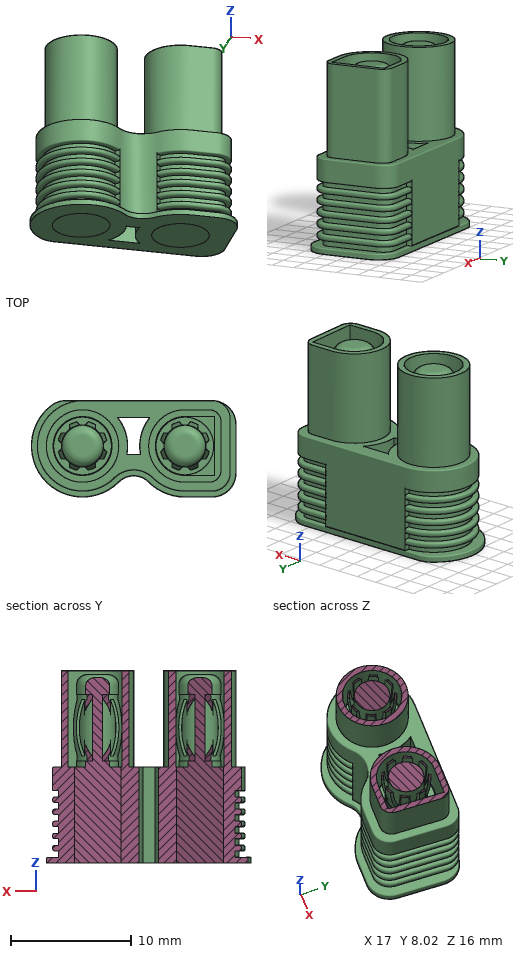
import cadquery as cq
import math

PIN_SPACING = 8.5
HALF_SPACING = PIN_SPACING / 2
BODY_RADIUS = 3.75
BODY_CORNER = 1.5
WAIST_CENTRE_Y = -4.25
WAIST_RADIUS = math.hypot(HALF_SPACING, WAIST_CENTRE_Y) - BODY_RADIUS
STEP = 0.5

FLANGE_TOP = 0.5
FLANGE_BACK_Y = 3.77
RIB_COUNT = 5
RIB_PITCH = 1.0
RIB_HEIGHT = 0.5
RIB_ROUND = 0.2
BAND_BOTTOM = 6.0
TUBE_TOP = 16.0
DECK_Z = TUBE_TOP / 2
EDGE_ROUND = 0.1

TUBE_RADIUS = 3.01
TUBE_CORNER = 1.0
BORE_RADIUS = 2.45
WINDOW_FRONT_Y = -0.7
WINDOW_BACK_Y = 2.36

SHANK_RADIUS = 2.4
TIP_RADIUS = 1.75
TIP_ROUND = 0.87
NECK_RADIUS = 1.5
NECK_BOTTOM = 8.5
NECK_TOP = 14.0
PIN_TOP = 15.65

LEAF_THICKNESS = 0.2
LEAF_BULGE_RADIUS = 2.07
SPRING_BAND = 0.4
SLOT_COUNT = 8
SLOT_APEX_RADIUS = 1.53


def extrude_between(outline, bottom, top):
    """Extrude a closed outline, drawn at Z = 0, between two heights."""
    return outline.extrude(top - bottom).translate((0, 0, bottom))


def body_outline(growth=0.0, back_y=None):
    """Rounded left end, square right end and concave front waist, offset outward by growth.

    The straight back is tangent to the rounded end unless back_y moves it inward.
    """
    end_radius = BODY_RADIUS + growth
    corner = BODY_CORNER + growth
    waist_radius = WAIST_RADIUS - growth
    right_x = HALF_SPACING + end_radius
    back_y = back_y or end_radius
    back_left_x = -HALF_SPACING - math.sqrt(end_radius**2 - back_y**2)
    corner_x = right_x - corner
    front_corner_y = corner - end_radius
    back_corner_y = back_y - corner
    diagonal = corner * math.sqrt(0.5)
    waist_angle = math.atan2(WAIST_CENTRE_Y, HALF_SPACING)
    tangent_x = HALF_SPACING - end_radius * math.cos(waist_angle)
    tangent_y = end_radius * math.sin(waist_angle)
    shoulder_angle = (math.pi - waist_angle + 1.5 * math.pi) / 2
    shoulder = (
        HALF_SPACING + end_radius * math.cos(shoulder_angle),
        end_radius * math.sin(shoulder_angle),
    )
    return (
        cq.Workplane("XY")
        .moveTo(back_left_x, back_y)
        .lineTo(corner_x, back_y)
        .threePointArc((corner_x + diagonal, back_corner_y + diagonal), (right_x, back_corner_y))
        .lineTo(right_x, front_corner_y)
        .threePointArc((corner_x + diagonal, front_corner_y - diagonal), (corner_x, -end_radius))
        .lineTo(HALF_SPACING, -end_radius)
        .threePointArc(shoulder, (tangent_x, tangent_y))
        .threePointArc((0, WAIST_CENTRE_Y + waist_radius), (-tangent_x, tangent_y))
        .threePointArc((-HALF_SPACING - end_radius, 0), (back_left_x, back_y))
        .close()
    )


def d_outline(radius):
    """D shape: half circle to the left of the right pin axis, square to its right."""
    return (
        cq.Workplane("XY")
        .moveTo(HALF_SPACING, radius)
        .threePointArc((HALF_SPACING - radius, 0), (HALF_SPACING, -radius))
        .lineTo(HALF_SPACING + radius, -radius)
        .lineTo(HALF_SPACING + radius, radius)
        .close()
    )


def round_outline(radius):
    """Circle on the left pin axis."""
    return cq.Workplane("XY").center(-HALF_SPACING, 0).circle(radius)


def make_flange():
    """Base plate with a rounded rear left corner and a rounded upper edge."""
    plate = body_outline(STEP, FLANGE_BACK_Y).extrude(FLANGE_TOP)
    rear_left = cq.selectors.NearestToPointSelector((-PIN_SPACING, PIN_SPACING, 0))
    plate = plate.edges("|Z").edges(rear_left).fillet(BODY_CORNER + STEP)
    return plate.faces(">Z").edges().fillet(EDGE_ROUND)


def make_web():
    """Ungrooved middle of the body: ends at the pin axes behind and at radial walls in front."""
    blank = extrude_between(body_outline(), FLANGE_TOP, DECK_Z - EDGE_ROUND)
    middle = (
        cq.Workplane("XY")
        .moveTo(-HALF_SPACING, BODY_RADIUS)
        .lineTo(-HALF_SPACING, 0)
        .lineTo(0, WAIST_CENTRE_Y)
        .lineTo(HALF_SPACING, 0)
        .lineTo(HALF_SPACING, BODY_RADIUS)
        .close()
        .extrude(DECK_Z)
    )
    return blank.intersect(middle)


def make_ribbed_body():
    """Grooved grip between the flange and the plain upper band."""
    body = extrude_between(body_outline(-STEP), FLANGE_TOP, BAND_BOTTOM)
    for index in range(RIB_COUNT):
        rib_bottom = RIB_PITCH * (index + 1)
        rib = extrude_between(body_outline(), rib_bottom, rib_bottom + RIB_HEIGHT)
        body = body.union(rib.faces("<Z or >Z").edges().fillet(RIB_ROUND))
    band = extrude_between(body_outline(), BAND_BOTTOM, DECK_Z)
    body = body.union(band.faces("<Z or >Z").edges().fillet(EDGE_ROUND))
    return body.union(make_web())


def make_tubes():
    """Round shroud on the left pin axis, D-shaped shroud on the right one."""
    round_tube = extrude_between(round_outline(TUBE_RADIUS), DECK_Z, TUBE_TOP)
    d_tube = extrude_between(d_outline(TUBE_RADIUS), DECK_Z, TUBE_TOP)
    d_tube = d_tube.edges("|Z and >X").fillet(TUBE_CORNER)
    round_bore = extrude_between(round_outline(BORE_RADIUS), DECK_Z, TUBE_TOP)
    d_bore = extrude_between(d_outline(BORE_RADIUS), DECK_Z, TUBE_TOP)
    return round_tube.cut(round_bore), d_tube.cut(d_bore)


def make_window():
    """Through opening between the pins, bounded by arcs concentric with them."""
    window = (
        cq.Workplane("XY")
        .moveTo(-HALF_SPACING, WINDOW_FRONT_Y)
        .lineTo(HALF_SPACING, WINDOW_FRONT_Y)
        .lineTo(HALF_SPACING, WINDOW_BACK_Y)
        .lineTo(-HALF_SPACING, WINDOW_BACK_Y)
        .close()
        .extrude(DECK_Z)
    )
    pin_walls = (
        cq.Workplane("XY")
        .pushPoints([(-HALF_SPACING, 0), (HALF_SPACING, 0)])
        .circle(BODY_RADIUS)
        .extrude(DECK_Z)
    )
    return window.cut(pin_walls)


def make_housing():
    """Flange, ribbed body and both tubes, with the pin holes and the window cut through."""
    housing = make_flange().union(make_ribbed_body())
    for tube in make_tubes():
        housing = housing.union(tube)
    pin_holes = (
        cq.Workplane("XY")
        .pushPoints([(-HALF_SPACING, 0), (HALF_SPACING, 0)])
        .circle(SHANK_RADIUS)
        .extrude(DECK_Z)
    )
    return housing.cut(pin_holes).cut(make_window())


def make_pin(x):
    """Turned pin: shank flush with the deck, spring neck and domed tip."""
    profile = (
        cq.Workplane("XZ")
        .lineTo(SHANK_RADIUS, 0)
        .lineTo(SHANK_RADIUS, DECK_Z)
        .lineTo(TIP_RADIUS, DECK_Z)
        .lineTo(TIP_RADIUS, NECK_BOTTOM)
        .lineTo(NECK_RADIUS, NECK_BOTTOM)
        .lineTo(NECK_RADIUS, NECK_TOP)
        .lineTo(TIP_RADIUS, NECK_TOP)
        .lineTo(TIP_RADIUS, PIN_TOP)
        .lineTo(0, PIN_TOP)
        .close()
    )
    pin = profile.revolve(360, (0, 0, 0), (0, 1, 0))
    return pin.faces(">Z").edges().fillet(TIP_ROUND).translate((x, 0, 0))


def make_spring(x):
    """Lantern spring around the neck: two end rings joined by outward-bowed leaves."""
    outer_end = NECK_RADIUS + LEAF_THICKNESS
    leaf_bottom = NECK_BOTTOM + SPRING_BAND
    leaf_top = NECK_TOP - SPRING_BAND
    middle_z = (leaf_bottom + leaf_top) / 2
    profile = (
        cq.Workplane("XZ")
        .moveTo(NECK_RADIUS, NECK_BOTTOM)
        .lineTo(outer_end, NECK_BOTTOM)
        .lineTo(outer_end, leaf_bottom)
        .threePointArc((LEAF_BULGE_RADIUS, middle_z), (outer_end, leaf_top))
        .lineTo(outer_end, NECK_TOP)
        .lineTo(NECK_RADIUS, NECK_TOP)
        .lineTo(NECK_RADIUS, leaf_top)
        .threePointArc((LEAF_BULGE_RADIUS - LEAF_THICKNESS, middle_z), (NECK_RADIUS, leaf_bottom))
        .close()
    )
    spring = profile.revolve(360, (0, 0, 0), (0, 1, 0))
    slot_depth = SHANK_RADIUS - SLOT_APEX_RADIUS
    slot = extrude_between(
        cq.Workplane("XY").polyline(
            [(SLOT_APEX_RADIUS, 0), (SHANK_RADIUS, slot_depth), (SHANK_RADIUS, -slot_depth)]
        ).close(),
        leaf_bottom,
        leaf_top,
    )
    for index in range(SLOT_COUNT):
        spring = spring.cut(slot.rotate((0, 0, 0), (0, 0, 1), index * 360 / SLOT_COUNT))
    return spring.translate((x, 0, 0))


housing = make_housing()
bodies = [housing.solids().val()]
for pin_x in (-HALF_SPACING, HALF_SPACING):
    bodies.append(make_pin(pin_x).solids().val())
    bodies.append(make_spring(pin_x).solids().val())

result = cq.Compound.makeCompound(bodies)